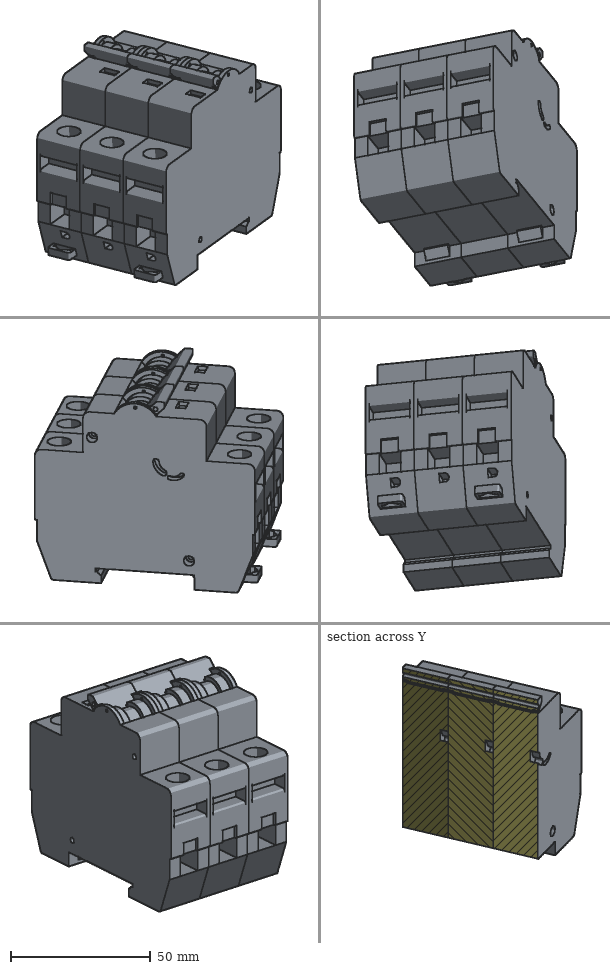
import cadquery as cq
import math


POLE_COUNT = 3
POLE_WIDTH = 18.0
POLE_MIDDLE = POLE_WIDTH / 2
HALF_LENGTH = 40.3
NECK_HALF = 22.6
TOP_Z = 65.8
SHOULDER_Z = 50.0
EDGE_RADIUS = 2.5
STEP = 0.85
STEP_RADIUS = 0.8
STEP_Z = 23.5
LOWER_HALF = HALF_LENGTH - STEP
TAPER_Z = 14.6
BOTTOM_HALF = 34.1
BOTTOM_RADIUS = 1.3

RAIL_HALF = 18.15
RAIL_Z = 5.65
HOOK_Y = 16.0
HOOK_TOP_Y = 17.4
HOOK_TOP_Z = 4.3
HOOK_TIP_Z = 2.95

DRUM_Y = 3.5
DRUM_Z = 61.2
DISC_RADIUS = 9.0
DISC_THICKNESS = 1.8
DRUM_RADIUS = 7.1
GROOVE_RADIUS = 5.5
GROOVE_WIDTH = 6.2
DISC_HOLE_DIAMETER = 1.0
DISC_HOLE_Z = 68.65
HANDLE_TILT = 45.0
HANDLE_THICKNESS = 3.6
HANDLE_START = 9.25
HANDLE_TOP_Z = 71.57
HANDLE_FRONT_Y = -7.2
HANDLE_EDGE_RADIUS = 0.6
HANDLE_HOLE_DIAMETER = 1.6
HANDLE_HOLE_REACH = 10.5
WEB_GAP = 0.4
GROOVE_WEB_GAP = 0.6
WEB_OVERLAP = 1.0

SCREW_HOLE_DIAMETER = 8.5
SCREW_HOLE_Y = 33.0
SCREW_HOLE_DEPTH = 7.0
WINDOW_WIDTH = 15.1
WINDOW_BOTTOM_Z = 35.0
WINDOW_TOP_Z = 42.0
WINDOW_DEPTH = 5.8
WINDOW_LIP = 1.0
WIRE_WIDTH = 8.0
WIRE_TOP_Z = STEP_Z - STEP
WIRE_DEPTH = 10.0
NOTCH_LEFT = 5.65
NOTCH_WIDTH = 6.5
NOTCH_TOP_Z = 27.75
NOTCH_DEPTH = 1.3

FLAG_LEFT = 9.95
FLAG_WIDTH = 6.1
FLAG_BACK_Y = -9.4
FLAG_LENGTH = 3.55
FLAG_DEPTH = 1.5
FLAG_DRAFT = 0.2
PORT_LEFT = 8.9
PORT_HEIGHT = 3.0
PORT_FLAT = 2.0
PORT_Z = 11.2
PORT_FLOOR_Y = -33.0

RIVET_POINTS = [(19.3, 56.0), (-16.2, 11.0)]
RIVET_HOLE_DIAMETER = 2.0
RIVET_HEAD_DIAMETER = 3.8
RIVET_HEAD_DEPTH = 4.0
SIDE_SLOT_DEPTH = 3.0
WIDE_SLOT = dict(center=(-9.1, 48.8), radius=5.0, width=2.25, start=-5, end=-64)
NARROW_SLOT = dict(center=(-10.4, 46.6), radius=4.2, width=1.5, start=-72, end=-140)

CLIP_WIDTH = 9.2
CLIP_BOTTOM_Z = 2.66
CLIP_TOP_Z = 5.6
CLIP_INNER_Y = -34.0
CLIP_RADIUS = 0.9
CLIP_EYE_HALF = 3.5
CLIP_EYE_NOSE_HALF = 2.4
CLIP_EYE_TIP_HALF = 0.5
CLIP_EYE_STEP_Y = -38.0
CLIP_EYE_TIP_Y = -39.5
LATCH_TOP_Y = -16.6
LATCH_TIP_Y = -16.05
LATCH_TIP_Z = 4.9
LATCH_BOTTOM_Z = 1.4


def side_sketch(x):
    """Workplane across the pole at x, drawn in (Y, Z) and extruded toward +X."""
    return cq.Workplane("YZ", origin=(x, 0, 0))


def block(x, y, z):
    """Box given by its (low, high) limits along each axis."""
    sizes = [high - low for low, high in (x, y, z)]
    return cq.Workplane("XY").box(*sizes, centered=False).translate((x[0], y[0], z[0]))


def housing():
    """Stepped outline, symmetric about Y = 0, with rounded edges and the rail slot cut out."""
    half = [
        (BOTTOM_HALF, 0),
        (LOWER_HALF, TAPER_Z),
        (LOWER_HALF, STEP_Z - STEP),
        (HALF_LENGTH, STEP_Z - STEP),
        (HALF_LENGTH, SHOULDER_Z),
        (NECK_HALF, SHOULDER_Z),
        (NECK_HALF, TOP_Z),
    ]
    mirrored = [(-y, z) for y, z in reversed(half)]
    body = side_sketch(0).polyline(half + mirrored).close().extrude(POLE_WIDTH)
    for side in (-1, 1):
        rounded_edges = [
            (BOTTOM_HALF, 0, BOTTOM_RADIUS),
            (HALF_LENGTH, STEP_Z - STEP, STEP_RADIUS),
            (HALF_LENGTH, SHOULDER_Z, EDGE_RADIUS),
            (NECK_HALF, TOP_Z, EDGE_RADIUS),
        ]
        for y, z, radius in rounded_edges:
            edge = cq.selectors.NearestToPointSelector((POLE_MIDDLE, side * y, z))
            body = body.edges(edge).fillet(radius)
    rail = (
        side_sketch(0)
        .moveTo(-RAIL_HALF, 0)
        .lineTo(-RAIL_HALF, RAIL_Z)
        .lineTo(RAIL_HALF, RAIL_Z)
        .lineTo(RAIL_HALF, HOOK_TOP_Z)
        .lineTo(HOOK_TOP_Y, HOOK_TOP_Z)
        .lineTo(HOOK_Y, HOOK_TIP_Z)
        .lineTo(HOOK_Y, 0)
        .close()
        .extrude(POLE_WIDTH)
    )
    return body.cut(rail)


def drum_cylinder(radius, x_start, width):
    """Cylinder on the drum axis."""
    return side_sketch(x_start).center(DRUM_Y, DRUM_Z).circle(radius).extrude(width)


def add_drum(body):
    """End discs flush with the pole sides, and a grooved drum lying in a V-shaped trough."""
    drum_width = POLE_WIDTH - 2 * DISC_THICKNESS
    body = body.union(drum_cylinder(DISC_RADIUS, 0, POLE_WIDTH))
    rise = TOP_Z - DRUM_Z
    trough_half = math.sqrt(DISC_RADIUS**2 - rise**2)
    sky = DRUM_Z + DISC_RADIUS
    trough = (
        side_sketch(DISC_THICKNESS)
        .moveTo(DRUM_Y, TOP_Z - trough_half)
        .lineTo(DRUM_Y + trough_half, TOP_Z)
        .lineTo(DRUM_Y + trough_half, sky)
        .lineTo(DRUM_Y - trough_half, sky)
        .lineTo(DRUM_Y - trough_half, TOP_Z)
        .close()
        .extrude(drum_width)
    )
    disc_hole = (
        side_sketch(0).center(DRUM_Y, DISC_HOLE_Z).circle(DISC_HOLE_DIAMETER / 2).extrude(POLE_WIDTH)
    )
    collar_width = (drum_width - GROOVE_WIDTH) / 2
    body = body.cut(trough).cut(disc_hole)
    body = body.union(drum_cylinder(GROOVE_RADIUS, DISC_THICKNESS, drum_width))
    for x in (DISC_THICKNESS, POLE_WIDTH - DISC_THICKNESS - collar_width):
        body = body.union(drum_cylinder(DRUM_RADIUS, x, collar_width))
    return body


def handle_slab(x_start, x_end, reach_start, reach_end):
    """Slab leaning out of the drum axis at the handle tilt, toward -Y and +Z."""
    thickness = (-HANDLE_THICKNESS / 2, HANDLE_THICKNESS / 2)
    slab = block((x_start, x_end), (-reach_end, -reach_start), thickness)
    return slab.rotate((0, 0, 0), (1, 0, 0), -HANDLE_TILT).translate((0, DRUM_Y, DRUM_Z))


def add_handle(body):
    """Handle bar clear of the discs, held by a web on the drum and a finger in its groove."""
    past_limits = 2 * DISC_RADIUS
    bar = handle_slab(0, POLE_WIDTH, HANDLE_START, past_limits)
    limits = block((0, POLE_WIDTH), (HANDLE_FRONT_Y, DRUM_Y), (DRUM_Z, HANDLE_TOP_Z))
    bar = bar.intersect(limits)
    bar = bar.edges("|X and (>Z or <Y)").fillet(HANDLE_EDGE_RADIUS)

    web_side = DISC_THICKNESS + WEB_GAP
    web = handle_slab(web_side, POLE_WIDTH - web_side, DRUM_RADIUS - WEB_OVERLAP, HANDLE_START)
    finger_half = GROOVE_WIDTH / 2 - GROOVE_WEB_GAP
    finger_limits = (POLE_MIDDLE - finger_half, POLE_MIDDLE + finger_half)
    finger = handle_slab(*finger_limits, GROOVE_RADIUS - WEB_OVERLAP, HANDLE_START)
    tilt = math.radians(HANDLE_TILT)
    hole_y = DRUM_Y - HANDLE_HOLE_REACH * math.cos(tilt)
    hole_z = DRUM_Z + HANDLE_HOLE_REACH * math.sin(tilt)
    hole = (
        side_sketch(0)
        .center(hole_y, hole_z)
        .circle(HANDLE_HOLE_DIAMETER / 2)
        .extrude(POLE_WIDTH)
    )
    return body.union(web).union(finger).union(bar.cut(hole))


def terminal_cut():
    """Openings of the -Y terminal: screw hole, label window, wire entry and its notch."""
    screw = (
        cq.Workplane("XY", origin=(POLE_MIDDLE, -SCREW_HOLE_Y, SHOULDER_Z - SCREW_HOLE_DEPTH))
        .circle(SCREW_HOLE_DIAMETER / 2)
        .extrude(SCREW_HOLE_DEPTH)
    )
    window = (
        side_sketch(POLE_MIDDLE - WINDOW_WIDTH / 2)
        .moveTo(-HALF_LENGTH, WINDOW_BOTTOM_Z)
        .radiusArc((-HALF_LENGTH + WINDOW_LIP, WINDOW_BOTTOM_Z + WINDOW_LIP), WINDOW_LIP)
        .lineTo(-HALF_LENGTH + WINDOW_DEPTH, WINDOW_BOTTOM_Z + WINDOW_LIP)
        .lineTo(-HALF_LENGTH + WINDOW_DEPTH, WINDOW_TOP_Z - WINDOW_LIP)
        .lineTo(-HALF_LENGTH + WINDOW_LIP, WINDOW_TOP_Z - WINDOW_LIP)
        .radiusArc((-HALF_LENGTH, WINDOW_TOP_Z), WINDOW_LIP)
        .close()
        .extrude(WINDOW_WIDTH)
    )
    wire = block(
        (POLE_MIDDLE - WIRE_WIDTH / 2, POLE_MIDDLE + WIRE_WIDTH / 2),
        (-HALF_LENGTH, -LOWER_HALF + WIRE_DEPTH),
        (TAPER_Z, WIRE_TOP_Z),
    )
    notch = block(
        (NOTCH_LEFT, NOTCH_LEFT + NOTCH_WIDTH),
        (-HALF_LENGTH, -HALF_LENGTH + NOTCH_DEPTH),
        (WIRE_TOP_Z, NOTCH_TOP_Z),
    )
    return screw.union(window).union(wire).union(notch)


def flag_cut():
    """Indicator opening in the top face, with a drafted back wall."""
    front_y = FLAG_BACK_Y - FLAG_LENGTH
    floor_z = TOP_Z - FLAG_DEPTH
    return (
        side_sketch(FLAG_LEFT)
        .moveTo(front_y, floor_z)
        .lineTo(FLAG_BACK_Y - FLAG_DRAFT, floor_z)
        .lineTo(FLAG_BACK_Y, TOP_Z)
        .lineTo(front_y, TOP_Z)
        .close()
        .extrude(FLAG_WIDTH)
    )


def port_cut():
    """D-shaped port in the tapered end, running along Y."""
    radius = PORT_HEIGHT / 2
    arc_x = PORT_LEFT + PORT_FLAT
    return (
        cq.Workplane("XZ", origin=(0, PORT_FLOOR_Y, 0))
        .moveTo(PORT_LEFT, PORT_Z - radius)
        .lineTo(arc_x, PORT_Z - radius)
        .threePointArc((arc_x + radius, PORT_Z), (arc_x, PORT_Z + radius))
        .lineTo(PORT_LEFT, PORT_Z + radius)
        .close()
        .extrude(HALF_LENGTH + PORT_FLOOR_Y)
    )


def rivet_cut():
    """Rivet holes through the pole, with a round recess in the -X face for each head."""
    centers = side_sketch(0).pushPoints(RIVET_POINTS)
    heads = centers.circle(RIVET_HEAD_DIAMETER / 2).extrude(RIVET_HEAD_DEPTH)
    holes = centers.circle(RIVET_HOLE_DIAMETER / 2).extrude(POLE_WIDTH)
    return heads.union(holes)


def side_slot(center, radius, width, start, end):
    """Round-ended slot in the -X face, bent along an arc between two angles in degrees."""

    def at(reach, angle):
        turn = math.radians(angle)
        return (center[0] + reach * math.cos(turn), center[1] + reach * math.sin(turn))

    middle = (start + end) / 2
    inner = radius - width / 2
    outer = radius + width / 2
    band = (
        side_sketch(0)
        .moveTo(*at(inner, start))
        .threePointArc(at(inner, middle), at(inner, end))
        .lineTo(*at(outer, end))
        .threePointArc(at(outer, middle), at(outer, start))
        .close()
        .extrude(SIDE_SLOT_DEPTH)
    )
    ends = (
        side_sketch(0)
        .pushPoints([at(radius, start), at(radius, end)])
        .circle(width / 2)
        .extrude(SIDE_SLOT_DEPTH)
    )
    return band.union(ends)


def pole():
    """Complete pole; the terminal openings repeat at the +Y end."""
    body = add_handle(add_drum(housing()))
    terminal = terminal_cut()
    body = body.cut(terminal).cut(terminal.mirror("XZ"))
    body = body.cut(flag_cut()).cut(port_cut()).cut(rivet_cut())
    return body.cut(side_slot(**WIDE_SLOT)).cut(side_slot(**NARROW_SLOT))


def add_clip(body):
    """Rail clip: a finger loop outside the -Y end and a latch inside the rail slot."""
    left = POLE_MIDDLE - CLIP_WIDTH / 2
    loop = block((left, left + CLIP_WIDTH), (-HALF_LENGTH, CLIP_INNER_Y), (CLIP_BOTTOM_Z, CLIP_TOP_Z))
    loop = loop.edges("|Z and <Y").fillet(CLIP_RADIUS)
    taper_run = (LOWER_HALF - BOTTOM_HALF) / TAPER_Z
    eye_back_y = -(BOTTOM_HALF + CLIP_TOP_Z * taper_run)
    eye_half = [
        (CLIP_EYE_HALF, eye_back_y),
        (CLIP_EYE_HALF, CLIP_EYE_STEP_Y),
        (CLIP_EYE_NOSE_HALF, CLIP_EYE_STEP_Y),
        (CLIP_EYE_TIP_HALF, CLIP_EYE_TIP_Y),
    ]
    eye = (
        cq.Workplane("XY", origin=(POLE_MIDDLE, 0, CLIP_BOTTOM_Z))
        .polyline(eye_half + [(-x, y) for x, y in reversed(eye_half)])
        .close()
        .extrude(CLIP_TOP_Z - CLIP_BOTTOM_Z)
    )
    latch = (
        side_sketch(left)
        .moveTo(-RAIL_HALF, LATCH_BOTTOM_Z)
        .lineTo(LATCH_TIP_Y, LATCH_TIP_Z)
        .lineTo(LATCH_TOP_Y, RAIL_Z)
        .lineTo(-RAIL_HALF, RAIL_Z)
        .close()
        .extrude(CLIP_WIDTH)
    )
    return body.union(loop.cut(eye)).union(latch)


plain_pole = pole()
clip_pole = add_clip(plain_pole)
solids = []
for index in range(POLE_COUNT):
    outermost = index in (0, POLE_COUNT - 1)
    body = clip_pole if outermost else plain_pole
    offset = (index - POLE_COUNT / 2) * POLE_WIDTH
    solids.append(body.translate((offset, 0, 0)).val())

result = cq.Compound.makeCompound(solids)